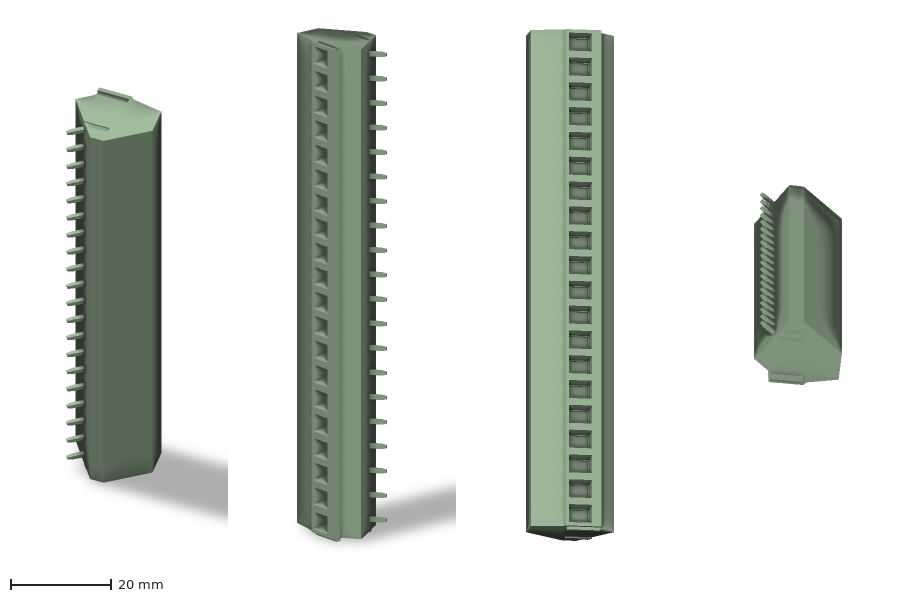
import cadquery as cq
import math

total_height = 102.2
pole_count = 20
upper_tongue_height = 0.6
lower_tongue_height = 0.3
body_height = total_height - upper_tongue_height
pitch = body_height / pole_count
body_bottom = -total_height / 2 + upper_tongue_height
body_top = body_bottom + body_height

left_x = -7.1
right_x = 7.1
side_x = -5.3
ridge = (2.6, 9.5)
shoulder_y = 6.4
pin_face_y = -6.0
chamfer_top_y = -3.7
chamfer_x = 5.4

entry_low = (left_x, -0.7)
entry_high = (-3.2, 4.6)
entry_rise = entry_high[1] - entry_low[1]
entry_run = entry_high[0] - entry_low[0]
entry_length = math.hypot(entry_run, entry_rise)
along = (entry_run / entry_length, entry_rise / entry_length)
inward = (along[1], -along[0])
rail_lip = (-2.9, 5.0)
rail_step_x = -2.1

entry_center_offset = 4.2
mouth_length = 4.7
mouth_height = 3.7
floor_length = 4.1
floor_height = 2.7
funnel_depth = 2.2
recess_length = 3.7
recess_height = 2.4
recess_depth = 0.5

upper_tongue_inset = 0.8
upper_tongue_width = 1.0
upper_tongue_length = 6.7
lower_tongue_width = 1.0
lower_tongue_end = (4.1, -1.6)
lower_tongue_length = 7.2

pin_x = 0.8
pin_width = 0.8
pin_height = 0.9
pin_tip_y = -9.5
pin_taper_length = 1.0
pin_tip_size = 0.6
pin_embed = 1.0


def entry_point(distance, depth):
    """Point at a distance up the entry face and a depth into the housing."""
    return (
        entry_low[0] + distance * along[0] + depth * inward[0],
        entry_low[1] + distance * along[1] + depth * inward[1],
    )


def prism(points, bottom, height):
    """Upright prism over a closed outline."""
    return cq.Workplane("XY").workplane(offset=bottom).polyline(points).close().extrude(height)


def strip(start, length, width):
    """Corners of a strip running down the slope from its upper outer corner."""
    x, y = start
    down_x = -length * along[0]
    down_y = -length * along[1]
    across_x = width * inward[0]
    across_y = width * inward[1]
    return [
        (x, y),
        (x + down_x, y + down_y),
        (x + down_x + across_x, y + down_y + across_y),
        (x + across_x, y + across_y),
    ]


def housing_profile():
    """Outline of the housing, counterclockwise from the lower left corner."""
    rail_thickness = (side_x - left_x) / inward[0]
    return [
        (side_x, pin_face_y),
        (chamfer_x, pin_face_y),
        (right_x, chamfer_top_y),
        (right_x, shoulder_y),
        ridge,
        (rail_step_x, rail_lip[1]),
        rail_lip,
        entry_high,
        entry_low,
        entry_point(0, rail_thickness),
    ]


def wire_entry(z):
    """Tapered opening in the entry face, ending in a smaller recess."""
    mouth_center = entry_point(entry_center_offset, 0)
    face = cq.Plane(
        origin=(*mouth_center, z),
        xDir=(*along, 0),
        normal=(*inward, 0),
    )
    funnel = (
        cq.Workplane(face)
        .rect(mouth_length, mouth_height)
        .workplane(offset=funnel_depth)
        .rect(floor_length, floor_height)
        .loft(ruled=True)
    )
    recess = cq.Workplane(face).rect(recess_length, recess_height).extrude(funnel_depth + recess_depth)
    return funnel.union(recess)


def pin(z):
    """Solder pin with a tapered tip, rooted inside the housing."""
    taper_y = pin_tip_y + pin_taper_length
    shank_length = pin_face_y + pin_embed - taper_y
    shank = cq.Workplane("XY").box(pin_width, shank_length, pin_height)
    shank = shank.translate((pin_x, taper_y + shank_length / 2, z))
    tip = (
        cq.Workplane("XZ", origin=(pin_x, taper_y, z))
        .rect(pin_width, pin_height)
        .workplane(offset=pin_taper_length)
        .rect(pin_tip_size, pin_tip_size)
        .loft(ruled=True)
    )
    return shank.union(tip)


profile = housing_profile()
result = prism(profile, body_bottom, body_height)
upper_start = entry_point(upper_tongue_length, upper_tongue_inset)
upper_strip = strip(upper_start, upper_tongue_length, upper_tongue_width)
lower_strip = strip(lower_tongue_end, lower_tongue_length, lower_tongue_width)
for outline, height in ((upper_strip, upper_tongue_height), (lower_strip, lower_tongue_height)):
    tongue = prism(outline, body_bottom - height, height)
    inside = prism(profile, body_bottom - height, height)
    groove = prism(outline, body_top - height, height)
    result = result.union(tongue.intersect(inside)).cut(groove)

for pole in range(pole_count):
    pole_z = body_bottom + (pole + 0.5) * pitch
    result = result.cut(wire_entry(pole_z)).union(pin(pole_z))